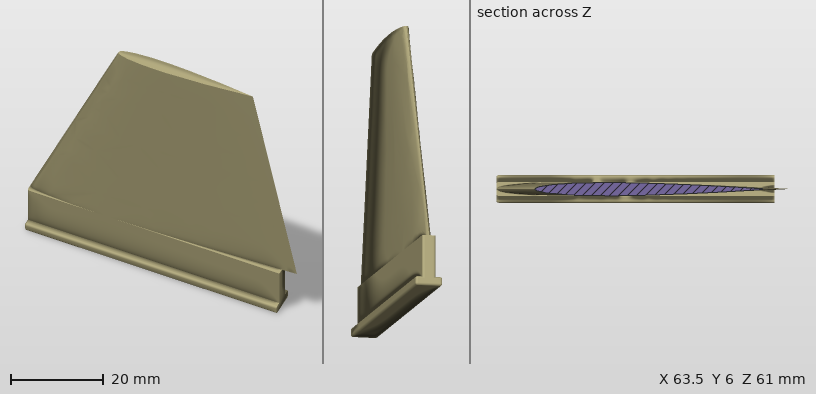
import cadquery as cq
import math

foot_length = 60.0
foot_width = 6.0
foot_height = 2.0
edge_radius = 0.5
web_thickness = 3.0
web_top = 11.0
total_height = 61.0
root_chord = 63.5
tip_chord = 32.0
tip_offset = 21.0
blade_thickness = web_thickness
spans_per_side = 16


def airfoil_half_thickness(fraction):
    """NACA four-digit thickness law with a closed trailing edge."""
    shape = (
        0.2969 * math.sqrt(fraction)
        - 0.1260 * fraction
        - 0.3516 * fraction**2
        + 0.2843 * fraction**3
        - 0.1036 * fraction**4
    )
    return 5 * blade_thickness * shape


def airfoil_wire(leading_x, chord, z):
    """Closed symmetric section, with stations crowded at both ends."""
    upper = []
    for i in range(spans_per_side + 1):
        fraction = (1 - math.cos(math.pi * i / spans_per_side)) / 2
        half = airfoil_half_thickness(fraction)
        upper.append(cq.Vector(leading_x + chord * fraction, half, z))
    upper[-1] = cq.Vector(leading_x + chord, 0, z)
    lower = [cq.Vector(p.x, -p.y, p.z) for p in reversed(upper)]
    return cq.Wire.assembleEdges([cq.Edge.makeSpline(upper), cq.Edge.makeSpline(lower)])


def make_foot():
    """Base strip, rounded along its long edges and all around its front end."""
    return (
        cq.Workplane("XY")
        .box(foot_length, foot_width, foot_height, centered=(False, True, False))
        .edges("|X or <X")
        .fillet(edge_radius)
    )


def make_web():
    """Upright plate with rounded vertical front edges, starting above the foot's lower rounding."""
    web_height = web_top - edge_radius
    return (
        cq.Workplane("XY")
        .workplane(offset=edge_radius)
        .box(foot_length, web_thickness, web_height, centered=(False, True, False))
        .edges("|Z and <X")
        .fillet(edge_radius)
    )


def make_blade():
    """Tapered fin lofted straight from root to tip."""
    root = airfoil_wire(0, root_chord, web_top)
    tip = airfoil_wire(tip_offset, tip_chord, total_height)
    return cq.Workplane(cq.Solid.makeLoft([root, tip], True))


result = make_foot().union(make_web()).union(make_blade())